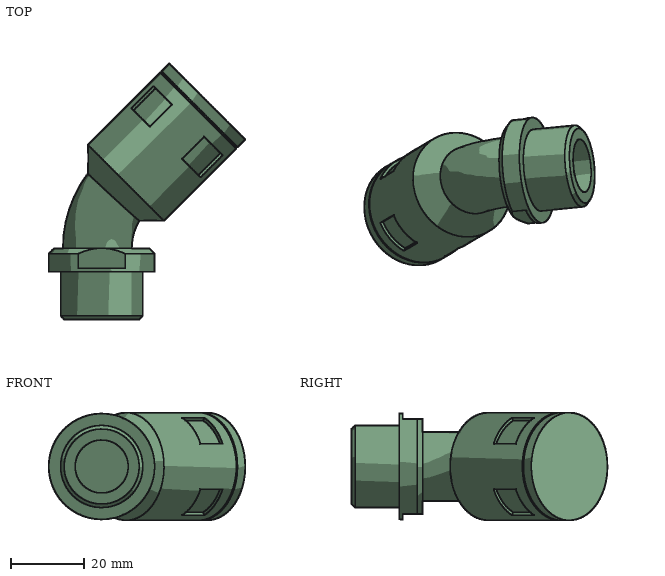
import cadquery as cq
import math

SPIGOT_DIA = 22.5
SPIGOT_LENGTH = 13.0
SPIGOT_CHAMFER = 1.0
BORE_DIA = 14.5
BORE_DEPTH = 5.0

FLANGE_DIA = 29.0
FLANGE_THICKNESS = 6.45
FLANGE_CHAMFER = 1.5
ACROSS_FLATS = 26.0
FLAT_RIM = 1.05

TUBE_DIA = 18.9
BEND_ANGLE = 45.0
TUBE_OFFSET = -1.2

SOCKET_DIA = 29.5
CUT_CLEARANCE = 0.7
SOCKET_LENGTH = 31.45
SOCKET_AXIS_Y = 30.75
TAPER_TIP_DIA = 16.8
OVERALL_LENGTH = 70.05
GROOVE_DIA = 23.4
GROOVE_WIDTH = 0.5
END_RING_WIDTH = 3.0

WINDOW_COUNT = 4
WINDOW_ARC = 40.0
WINDOW_LENGTH = 8.55
WINDOW_DEPTH = 0.9
WINDOW_END_DISTANCE = 7.4

flange_top = SPIGOT_LENGTH + FLANGE_THICKNESS
bend = math.radians(BEND_ANGLE)
tangent_length = SOCKET_AXIS_Y + TUBE_OFFSET / math.tan(bend) - flange_top
bend_radius = tangent_length / math.tan(bend / 2)
socket_radius = SOCKET_DIA / 2
socket_end_y = OVERALL_LENGTH - socket_radius * math.sin(bend)
socket_end_x = (socket_end_y - SOCKET_AXIS_Y) * math.tan(bend)
socket_plane = cq.Plane(
    origin=(socket_end_x, socket_end_y, 0),
    xDir=(0, 0, 1),
    normal=(-math.sin(bend), -math.cos(bend), 0),
)


def cylinder_along_y(diameter, start, length):
    plane = cq.Workplane("XZ", origin=(0, start, 0))
    return plane.circle(diameter / 2).extrude(-length)


def make_spigot():
    spigot = cylinder_along_y(SPIGOT_DIA, 0, SPIGOT_LENGTH)
    return spigot.faces("<Y").chamfer(SPIGOT_CHAMFER)


def make_flange():
    flange = cylinder_along_y(FLANGE_DIA, SPIGOT_LENGTH, FLANGE_THICKNESS)
    flange = flange.faces(">Y").chamfer(FLANGE_CHAMFER)
    flat_length = FLANGE_THICKNESS - FLAT_RIM
    for side in (1, -1):
        cutter = (
            cq.Workplane("XY")
            .box(FLANGE_DIA, flat_length, FLANGE_DIA)
            .translate((0, flange_top - flat_length / 2, side * (ACROSS_FLATS + FLANGE_DIA) / 2))
        )
        flange = flange.cut(cutter)
    return flange


def make_elbow():
    return (
        cq.Workplane("XZ", origin=(TUBE_OFFSET, flange_top, 0))
        .circle(TUBE_DIA / 2)
        .revolve(BEND_ANGLE, (bend_radius, 0.7, 0), (bend_radius, -0.7, 0))
    )


def make_window(center_angle):
    """Annular sector with radial walls that cuts one latch window."""
    outer = socket_radius + CUT_CLEARANCE
    inner = socket_radius - WINDOW_DEPTH

    def point(radius, offset):
        angle = math.radians(center_angle + offset)
        return radius * math.cos(angle), radius * math.sin(angle)

    half_arc = WINDOW_ARC / 2
    return (
        cq.Workplane(socket_plane)
        .workplane(offset=WINDOW_END_DISTANCE)
        .moveTo(*point(inner, -half_arc))
        .lineTo(*point(outer, -half_arc))
        .threePointArc(point(outer, 0), point(outer, half_arc))
        .lineTo(*point(inner, half_arc))
        .threePointArc(point(inner, 0), point(inner, -half_arc))
        .close()
        .extrude(WINDOW_LENGTH)
    )


def make_socket():
    barrel = cq.Workplane(socket_plane).circle(socket_radius).extrude(SOCKET_LENGTH)
    taper_length = (SOCKET_DIA - TAPER_TIP_DIA) / 2
    taper = (
        cq.Workplane(socket_plane)
        .workplane(offset=SOCKET_LENGTH)
        .circle(socket_radius)
        .workplane(offset=taper_length)
        .circle(TAPER_TIP_DIA / 2)
        .loft()
    )
    groove = (
        cq.Workplane(socket_plane)
        .workplane(offset=END_RING_WIDTH)
        .circle(socket_radius + CUT_CLEARANCE)
        .circle(GROOVE_DIA / 2)
        .extrude(GROOVE_WIDTH)
    )
    socket = barrel.union(taper).cut(groove)
    pitch = 360 / WINDOW_COUNT
    for index in range(WINDOW_COUNT):
        socket = socket.cut(make_window((index + 0.5) * pitch))
    return socket


bore = cylinder_along_y(BORE_DIA, 0, BORE_DEPTH)
result = make_spigot().union(make_flange()).union(make_elbow()).union(make_socket()).cut(bore)